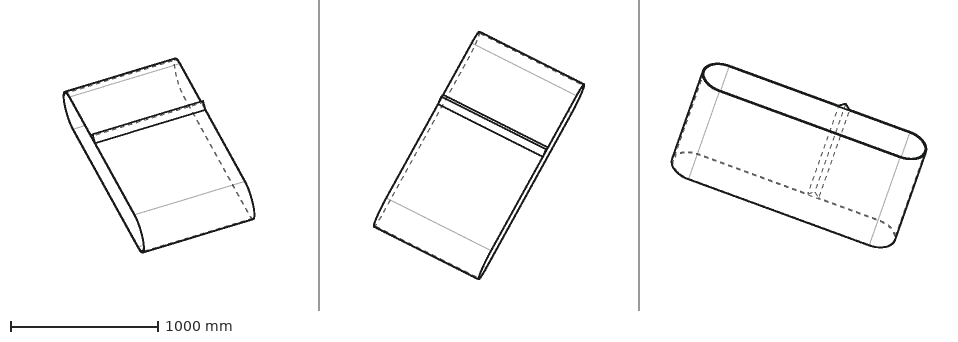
import cadquery as cq
import math

overall_length = 1579.0
overall_height = 608.0
belt_width = 800.0
belt_thickness = 10.0
end_radius = 153.0

cleat_base = 79.0
cleat_height = 49.0
cleat_position = 477.0

centre_run = overall_length - 2 * end_radius
centre_rise = overall_height - 2 * end_radius
centre_distance = math.hypot(centre_run, centre_rise)
incline = math.degrees(math.atan2(centre_rise, centre_run))


def level_profile():
    """Sketch plane with its origin at the lower bend, centred on the belt width."""
    return cq.Workplane("XZ", origin=(0, belt_width / 2, 0))


def belt_loop():
    """Hollow loop with two straight runs joined by half-round bends."""
    middle = centre_distance / 2
    inner_radius = end_radius - belt_thickness
    outer = level_profile().center(middle, 0).slot2D(centre_distance + 2 * end_radius, 2 * end_radius)
    inner = level_profile().center(middle, 0).slot2D(centre_distance + 2 * inner_radius, 2 * inner_radius)
    return outer.extrude(belt_width).cut(inner.extrude(belt_width))


def cleat():
    """Full-width triangular bar, rooted halfway into the belt thickness."""
    half_base = cleat_base / 2
    root = end_radius - belt_thickness / 2
    outline = [
        (cleat_position - half_base, root),
        (cleat_position + half_base, root),
        (cleat_position + half_base, end_radius),
        (cleat_position, end_radius + cleat_height),
        (cleat_position - half_base, end_radius),
    ]
    return level_profile().polyline(outline).close().extrude(belt_width)


result = belt_loop().union(cleat()).rotate((0, 0, 0), (0, 1, 0), -incline)